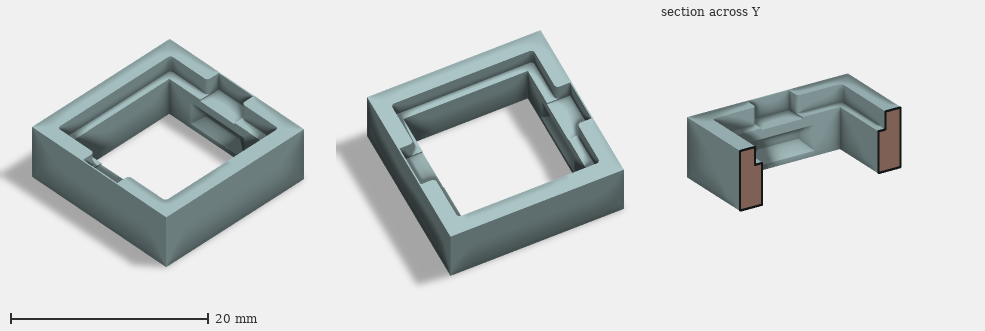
import cadquery as cq

outer_side = 19.5
height = 6.7
opening_side = 14.0

recess_x = 15.7
recess_y = 16.0
recess_depth = 2.0
corner_radius = 0.4

notch_width = 5.0
notch_depth = 2.2
notch_wall = 0.15

pocket_depth = 0.8
pocket_inset = 1.4
pocket_mouth_width = 7.8
pocket_mouth_floor = 0.6
pocket_ceiling = 3.5
pocket_back_width = pocket_mouth_width - 2 * pocket_inset
pocket_back_floor = pocket_mouth_floor + pocket_inset


def box_from_top(size_x, size_y, depth):
    """Centred block reaching down from the top face."""
    return cq.Workplane("XY").workplane(offset=height).rect(size_x, size_y).extrude(-depth)


def recess_cutter():
    """Recess and notch band, rounded where they meet and at the recess corners."""
    notch_length = outer_side - 2 * notch_wall
    recess = box_from_top(recess_x, recess_y, recess_depth)
    notch_band = box_from_top(notch_width, notch_length, recess_depth)
    recess_corners = cq.selectors.BoxSelector(
        (-outer_side, -recess_y / 2 - corner_radius, 0),
        (outer_side, recess_y / 2 + corner_radius, height),
    )
    rounded = recess.union(notch_band).edges("|Z").edges(recess_corners).fillet(corner_radius)
    return rounded.union(box_from_top(notch_width, notch_length, notch_depth))


def pocket_outline(width, floor, y):
    """Upright rectangle at the given Y, standing between the floor and the ceiling."""
    corners = [
        (-width / 2, y, floor),
        (width / 2, y, floor),
        (width / 2, y, pocket_ceiling),
        (-width / 2, y, pocket_ceiling),
    ]
    return cq.Wire.makePolygon([cq.Vector(*corner) for corner in corners], close=True)


def pocket_cutter():
    """Pocket in the +Y wall whose floor and ends slope in towards the back."""
    mouth_y = opening_side / 2
    mouth = pocket_outline(pocket_mouth_width, pocket_mouth_floor, mouth_y)
    back = pocket_outline(pocket_back_width, pocket_back_floor, mouth_y + pocket_depth)
    return cq.Workplane(cq.Solid.makeLoft([mouth, back], True))


frame = cq.Workplane("XY").rect(outer_side, outer_side).rect(opening_side, opening_side).extrude(height)
frame = frame.cut(recess_cutter())

pocket = pocket_cutter()
result = frame.cut(pocket).cut(pocket.mirror("XZ"))